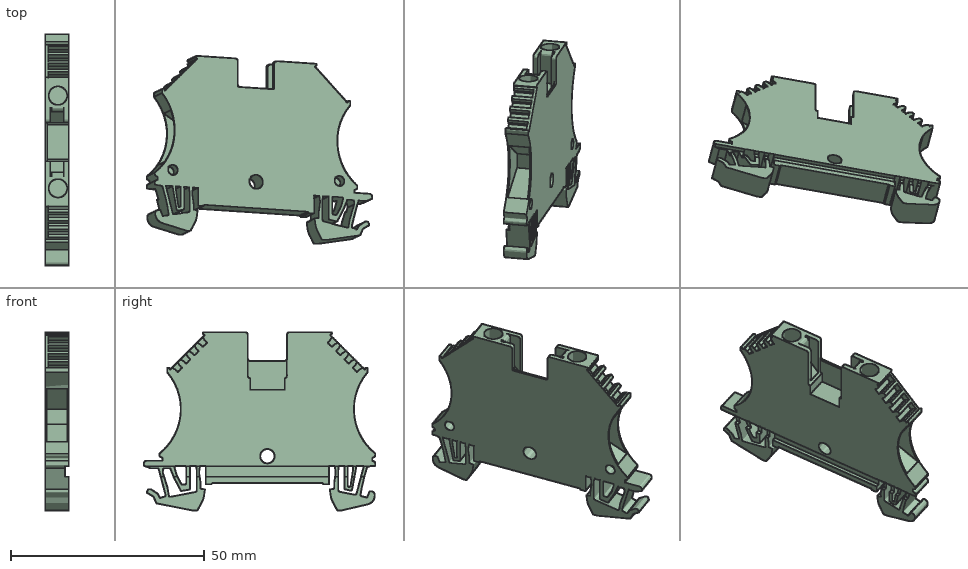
import cadquery as cq
import math


THICKNESS = 6.1
TOP_Z = 46.25
HALF_BASE = 27.95
BASE_Z = 11.5
TAB_END_Y = -32.05
TAB_TOP_Z = 12.95
TAB_BOTTOM_Z = 11.0

NOTCH_HALF = 5.05
NOTCH_Z = 38.8
NOTCH_TOP_ROUND = 0.7
NOTCH_FLOOR_ROUND = 0.55
RECESS_HALF = NOTCH_HALF - NOTCH_FLOOR_ROUND - 0.05
RECESS_WALL = 0.55
SLOT_X0 = 1.3
SLOT_X1 = 4.85
SLOT_BACK_Y = 7.85
SLOT_RAMP_Z = 37.75
SLOT_ROUND = 0.95
SLOT_STEP_WIDTH = 0.4
SLOT_STEP_DEPTH = 0.2
LEDGE_Z = SLOT_RAMP_Z - (SLOT_BACK_Y - RECESS_HALF)
RECESS_DEPTH = 3.0

SHOULDER_TOP = (16.25, 45.5)
SHOULDER_BOTTOM = (25.2, 36.55)
GROOVE_COUNT = 4
GROOVE_PITCH = 5.1
GROOVE_MOUTH = 3.6
GROOVE_FLOOR = 2.6
GROOVE_TAPER_DEPTH = 1.5
GROOVE_DEPTH = 3.1
GROOVE_WALL = 0.8

GRIP_RADIUS = 14.7
GRIP_Z = 26.3
GRIP_INNER_Y = 22.45
GRIP_CENTER_Y = GRIP_INNER_Y + GRIP_RADIUS

FUNNEL_X0 = 0.4
FUNNEL_X1 = 5.7
FUNNEL_MOUTH_TOP = (23.4, 31.55)
FUNNEL_MOUTH_BOTTOM = (25.1, 17.9)
CLAMP_Z0 = 22.3
CLAMP_Z1 = 26.2
CLAMP_HALF_LENGTH = 2.7

SCREW_X = 3.3
SCREW_Y = 12.0
SCREW_DIAMETER = 4.8
SCREW_RECESS = 4.8

RAIL_HOLE_DIAMETER = 3.65
RAIL_HOLE_Z = 14.1
PIN_HOLE_DIAMETER = 2.65
PIN_HOLE_Y = 23.0
PIN_HOLE_Z = 15.8
PIN_HOLE_DEPTH = 3.0

RELIEF_X = 5.15
RELIEF_Z0 = 8.8
RELIEF_Z1 = 11.45

SIDES = (1, -1)
MARGIN = 3.0


def outline_wire(corners):
    """Closed (Y, Z) outline as a workplane; each corner is (y, z) or (y, z, round radius)."""
    wire = cq.Workplane("YZ")
    count = len(corners)
    started = False
    for i, corner in enumerate(corners):
        here = cq.Vector(corner[0], corner[1])
        radius = corner[2] if len(corner) > 2 else 0
        if radius:
            before = cq.Vector(*corners[i - 1][:2])
            after = cq.Vector(*corners[(i + 1) % count][:2])
            to_before = (before - here).normalized()
            to_after = (after - here).normalized()
            half_angle = to_before.getAngle(to_after) / 2
            setback = radius / math.tan(half_angle)
            bisector = (to_before + to_after).normalized()
            arc_middle = here + bisector * (radius / math.sin(half_angle) - radius)
            arc_start = here + to_before * setback
            arc_end = here + to_after * setback
        else:
            arc_start = here
        start = (arc_start.x, arc_start.y)
        wire = wire.lineTo(*start) if started else wire.moveTo(*start)
        started = True
        if radius:
            wire = wire.threePointArc((arc_middle.x, arc_middle.y), (arc_end.x, arc_end.y))
    return wire.close()


def plate(corners, x0=0.0, x1=THICKNESS):
    """Rounded outline extruded along X from x0 to x1."""
    return outline_wire(corners).extrude(x1 - x0).translate((x0, 0, 0))


def mirrored(corners, side):
    """The same corners on the +Y side (side = 1) or on the -Y side (side = -1)."""
    return [(side * corner[0], *corner[1:]) for corner in corners]


def box(x0, x1, y0, y1, z0, z1):
    return cq.Workplane("XY").box(x1 - x0, y1 - y0, z1 - z0, centered=False).translate((x0, y0, z0))


def cross_cylinder(diameter, y, z, length):
    """Cylinder along X from the -X face."""
    return cq.Workplane("YZ").center(y, z).circle(diameter / 2).extrude(length)


def screw_cylinder(side, z0, z1):
    base = cq.Workplane("XY", origin=(SCREW_X, side * SCREW_Y, z0))
    return base.circle(SCREW_DIAMETER / 2).extrude(z1 - z0)




def make_plate_body():
    half = [
        (NOTCH_HALF, NOTCH_Z, NOTCH_FLOOR_ROUND),
        (NOTCH_HALF, TOP_Z, NOTCH_TOP_ROUND),
        (16.75, TOP_Z, 0.35),
        (16.75, 45.85),
        SHOULDER_TOP,
        SHOULDER_BOTTOM,
        (25.45, 37.0, 0.2),
        (26.0, 37.0, 0.25),
        (26.0, 35.8),
        (HALF_BASE, 14.9),
        (HALF_BASE, 14.05, 0.55),
        (27.2, 13.6, 0.2),
        (27.2, TAB_TOP_Z, 0.2),
        (HALF_BASE, 12.6, 0.55),
        (HALF_BASE, BASE_Z, 0.3),
        (16.0, BASE_Z),
        (16.0, 6.8, 0.25),
        (14.6, 6.8),
        (14.2, 7.15),
    ]
    body = plate(half + mirrored(half, -1)[::-1])
    for side in SIDES:
        grip = cross_cylinder(2 * GRIP_RADIUS, side * GRIP_CENTER_Y, GRIP_Z, THICKNESS)
        body = body.cut(grip)
    return body


def make_tab():
    return plate([
        (-27.2, TAB_TOP_Z),
        (TAB_END_Y, TAB_TOP_Z, 0.85),
        (TAB_END_Y, 11.65, 0.35),
        (-30.35, TAB_BOTTOM_Z),
        (-24.3, TAB_BOTTOM_Z),
        (-24.3, TAB_TOP_Z),
    ])


def make_foot(outer, window, tongue, slit):
    """Spring foot: a frame around a window in which a slit tongue hangs from the base."""
    return plate(outer).cut(plate(window)).union(plate(tongue).cut(plate(slit)))


FOOT_INNER_EDGE = [
    (18.1, 0.0, 0.5),
    (16.5, 3.0, 4.8),
    (16.15, 5.5, 0.1),
    (17.3, 5.7, 0.2),
    (17.3, 7.25, 4.8),
    (17.7, 10.0, 4.8),
    (17.4, BASE_Z),
]


def make_hooked_foot():
    outer = [
        (26.75, BASE_Z),
        (25.85, 11.3, 0.5),
        (24.6, 6.9, 36.0),
        (24.1, 3.85, 0.2),
        (25.8, 3.4, 0.2),
        (26.45, 5.05, 0.35),
        (27.85, 5.05, 0.95),
        (27.85, 2.05, 2.4),
        (19.15, 0.0, 1.2),
    ]
    window = [
        (24.95, BASE_Z),
        (23.0, 4.1, 0.3),
        (18.35, 5.0, 0.55),
        (18.35, 10.2),
        (18.55, BASE_Z),
    ]
    tongue = [
        (23.05, BASE_Z),
        (22.9, 10.55),
        (21.9, 5.1, 0.4),
        (19.9, 5.5, 0.35),
        (19.9, BASE_Z),
    ]
    slit = [
        (22.2, BASE_Z),
        (22.15, 10.45),
        (21.5, 6.2, 0.25),
        (20.9, 6.2, 0.25),
        (20.9, BASE_Z),
    ]
    return make_foot(outer + FOOT_INNER_EDGE, window, tongue, slit)


def make_release_foot():
    outer = [
        (28.25, BASE_Z),
        (28.25, TAB_BOTTOM_Z, 0.35),
        (27.2, 7.2, 150.0),
        (26.35, 3.8, 0.3),
        (27.85, 3.3, 0.2),
        (28.4, 4.4, 0.5),
        (30.2, 5.6, 0.3),
        (30.85, 5.6, 0.35),
        (31.3, 4.7, 0.3),
        (29.5, 3.6, 0.6),
        (28.75, 1.85, 0.25),
        (19.3, 0.0, 1.2),
    ]
    window = [
        (24.9, TAB_BOTTOM_Z),
        (27.0, TAB_BOTTOM_Z, 0.4),
        (27.05, 9.85),
        (25.85, 6.0),
        (25.45, 3.55, 0.35),
        (18.3, 4.9, 0.5),
        (18.3, 10.7),
        (18.55, BASE_Z),
        (24.9, BASE_Z),
    ]
    tongue = [
        (20.0, BASE_Z),
        (20.0, 5.45, 0.4),
        (22.4, 5.05, 0.25),
        (24.1, 8.35, 12.0),
        (25.2, TAB_BOTTOM_Z, 0.2),
        (25.2, BASE_Z),
    ]
    slit = [
        (21.05, BASE_Z, 0.3),
        (21.05, 6.8, 0.35),
        (22.2, 6.8, 0.3),
        (23.45, 9.1, 6.0),
        (24.1, BASE_Z, 0.35),
    ]
    shapes = [outer + FOOT_INNER_EDGE, window, tongue, slit]
    return make_foot(*[mirrored(shape, -1) for shape in shapes])


def notch_recess():
    """Deeper notch behind the -X wall, with a narrower well in its floor; both open to +X."""
    deep_notch = [
        (NOTCH_HALF, NOTCH_Z + NOTCH_FLOOR_ROUND),
        (NOTCH_HALF, LEDGE_Z, NOTCH_FLOOR_ROUND),
        (-NOTCH_HALF, LEDGE_Z, NOTCH_FLOOR_ROUND),
        (-NOTCH_HALF, NOTCH_Z + NOTCH_FLOOR_ROUND),
    ]
    well = box(RECESS_WALL, THICKNESS, -RECESS_HALF, RECESS_HALF, LEDGE_Z - RECESS_DEPTH, LEDGE_Z)
    return plate(deep_notch, RECESS_WALL, THICKNESS).union(well)


def screwdriver_slot(side):
    """Slot through the tower face with a 45-degree ramp falling into the recess."""
    mouth_y = SLOT_BACK_Y + SLOT_ROUND
    profile = [
        (0, LEDGE_Z),
        (RECESS_HALF, LEDGE_Z),
        (SLOT_BACK_Y, SLOT_RAMP_Z),
        (SLOT_BACK_Y, TOP_Z),
        (0, TOP_Z),
    ]
    slot = plate(mirrored(profile, side), SLOT_X0, SLOT_X1)
    edge = [SLOT_BACK_Y, mouth_y]
    y0, y1 = sorted(side * y for y in edge)
    corner = box(SLOT_X0 + SLOT_STEP_WIDTH, SLOT_X1, y0, y1, TOP_Z - SLOT_ROUND, TOP_Z)
    rounding = cross_cylinder(2 * SLOT_ROUND, side * mouth_y, TOP_Z - SLOT_ROUND, THICKNESS)
    step = box(SLOT_X0, SLOT_X0 + SLOT_STEP_WIDTH, y0, y1, TOP_Z - SLOT_STEP_DEPTH, TOP_Z)
    return slot.union(corner.cut(rounding)).union(step)


def shoulder_grooves(side):
    """Tapered grooves across the shoulder, open to +X."""
    half_mouth = GROOVE_MOUTH / 2
    half_floor = GROOVE_FLOOR / 2
    profile = [
        (-half_mouth, 0),
        (-half_floor, -GROOVE_TAPER_DEPTH),
        (-half_floor, -GROOVE_DEPTH),
        (half_floor, -GROOVE_DEPTH),
        (half_floor, -GROOVE_TAPER_DEPTH),
        (half_mouth, 0),
    ]
    middle_y = (SHOULDER_TOP[0] + SHOULDER_BOTTOM[0]) / 2
    middle_z = (SHOULDER_TOP[1] + SHOULDER_BOTTOM[1]) / 2
    diagonal = math.sqrt(0.18)
    grooves = cq.Workplane("YZ")
    for i in range(GROOVE_COUNT):
        shift = (i - (GROOVE_COUNT - 1) / 2) * GROOVE_PITCH
        corners = [
            (
                middle_y + ((along + shift) + out) * diagonal,
                middle_z + (out - (along + shift)) * diagonal,
            )
            for along, out in profile
        ]
        grooves = grooves.add(plate(mirrored(corners, side), GROOVE_WALL, THICKNESS))
    return grooves.combine()


def wire_funnel(side):
    """Funnel from the finger grip in to the face of the clamp."""
    profile = [
        (SCREW_Y + CLAMP_HALF_LENGTH, CLAMP_Z0),
        FUNNEL_MOUTH_BOTTOM,
        (FUNNEL_MOUTH_BOTTOM[0] + MARGIN, FUNNEL_MOUTH_BOTTOM[1]),
        (FUNNEL_MOUTH_BOTTOM[0] + MARGIN, FUNNEL_MOUTH_TOP[1]),
        FUNNEL_MOUTH_TOP,
        (SCREW_Y + CLAMP_HALF_LENGTH, CLAMP_Z1),
    ]
    return plate(mirrored(profile, side), FUNNEL_X0, FUNNEL_X1)




def make_clamp(side):
    """Wire clamp block; its outer face closes the funnel."""
    y0 = side * SCREW_Y - CLAMP_HALF_LENGTH
    y1 = side * SCREW_Y + CLAMP_HALF_LENGTH
    return box(FUNNEL_X0, FUNNEL_X1, y0, y1, CLAMP_Z0, CLAMP_Z1)


def make_screw(side):
    """Clamping screw, standing on the clamp and sunk below the top of the tower."""
    return screw_cylinder(side, CLAMP_Z1, TOP_Z - SCREW_RECESS)




def make_housing():
    body = make_plate_body().union(make_tab()).union(make_hooked_foot()).union(make_release_foot())
    body = body.cut(box(RELIEF_X, THICKNESS, TAB_END_Y, HALF_BASE, RELIEF_Z0, RELIEF_Z1))
    body = body.cut(notch_recess())
    body = body.cut(cross_cylinder(RAIL_HOLE_DIAMETER, 0, RAIL_HOLE_Z, THICKNESS))
    for side in SIDES:
        body = body.cut(screwdriver_slot(side))
        body = body.cut(shoulder_grooves(side))
        body = body.cut(wire_funnel(side))
        body = body.cut(make_clamp(side))
        body = body.cut(screw_cylinder(side, CLAMP_Z1, TOP_Z))
        body = body.cut(cross_cylinder(PIN_HOLE_DIAMETER, side * PIN_HOLE_Y, PIN_HOLE_Z, PIN_HOLE_DEPTH))
    return body


housing = make_housing()
clamps = [make_clamp(side) for side in SIDES]
screws = [make_screw(side) for side in SIDES]

bodies = [housing, *clamps, *screws]
result = cq.Compound.makeCompound([body.solids().val() for body in bodies])